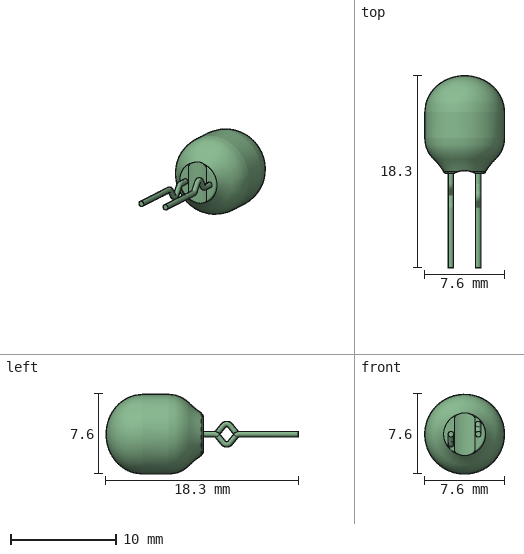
import cadquery as cq
import math

body_radius = 3.8
dome_height = 3.49
band_length = 2.48
body_length = 9.28
neck_radius = 1.99
rim_round = 0.16
shoulder_radius = 2.65
shoulder_angle = math.radians(46)

groove_width = 1.94
groove_depth = 0.24

overall_length = 18.26
lead_diameter = 0.53
lead_offset = 1.3
lead_length = overall_length - body_length
lead_embed = 0.91
kink_start = 1.0
kink_half_length = 1.19
kink_height = 0.97
bend_radius = 0.42


def make_body():
    """Revolve a half-elliptical dome, a straight band, a shoulder and a flared neck."""
    band_top = body_length - dome_height
    band_bottom = band_top - band_length

    def shoulder_point(angle):
        drop = shoulder_radius * (1 - math.cos(angle))
        return body_radius - drop, band_bottom - shoulder_radius * math.sin(angle)

    rim_sagitta = rim_round * (1 - math.sqrt(0.5))
    profile = (
        cq.Workplane("XY")
        .moveTo(body_radius, band_top)
        .lineTo(body_radius, band_bottom)
        .threePointArc(shoulder_point(shoulder_angle / 2), shoulder_point(shoulder_angle))
        .tangentArcPoint((neck_radius, rim_round), relative=False)
        .threePointArc((neck_radius - rim_sagitta, rim_sagitta), (neck_radius - rim_round, 0))
        .lineTo(0, 0)
        .lineTo(0, band_top)
        .close()
    )
    lower_body = profile.revolve(360, (0, 0, 0), (0, 1, 0))
    dome = (
        cq.Workplane("XY", origin=(0, band_top, 0))
        .moveTo(body_radius, 0)
        .ellipseArc(body_radius, dome_height, 0, 90, startAtCurrent=True)
        .lineTo(0, 0)
        .close()
        .revolve(360, (0, 0, 0), (0, 1, 0))
    )
    return lower_body.union(dome)


def make_groove():
    """Circular-arc channel running along Z through the mounting face."""
    half_width = groove_width / 2
    return (
        cq.Workplane("XY")
        .moveTo(-half_width, 0)
        .threePointArc((0, groove_depth), (half_width, 0))
        .close()
        .extrude(body_radius, both=True)
    )


def make_lead(side):
    """Wire running towards -Y, kinked to +Z for side = 1 and to -Z for side = -1."""
    rise = kink_height - 2 * bend_radius
    center_distance = math.hypot(kink_half_length, rise)
    flank_angle = math.atan2(rise, kink_half_length) + math.asin(2 * bend_radius / center_distance)
    crest_y = -kink_start - kink_half_length

    def foot(direction, angle):
        y = crest_y + direction * (kink_half_length - bend_radius * math.sin(angle))
        return y, side * bend_radius * (1 - math.cos(angle))

    def crest(direction, angle):
        y = crest_y + direction * bend_radius * math.sin(angle)
        return y, side * (kink_height - bend_radius * (1 - math.cos(angle)))

    half_angle = flank_angle / 2
    path = (
        cq.Workplane("YZ", origin=(side * lead_offset, 0, 0))
        .moveTo(lead_embed, 0)
        .lineTo(*foot(1, 0))
        .threePointArc(foot(1, half_angle), foot(1, flank_angle))
        .lineTo(*crest(1, flank_angle))
        .threePointArc(crest(1, 0), crest(-1, flank_angle))
        .lineTo(*foot(-1, flank_angle))
        .threePointArc(foot(-1, half_angle), foot(-1, 0))
        .lineTo(-lead_length, 0)
    )
    section = cq.Workplane("XZ", origin=(side * lead_offset, lead_embed, 0)).circle(lead_diameter / 2)
    return section.sweep(path)


result = make_body().cut(make_groove())
for side in (-1, 1):
    result = result.union(make_lead(side))